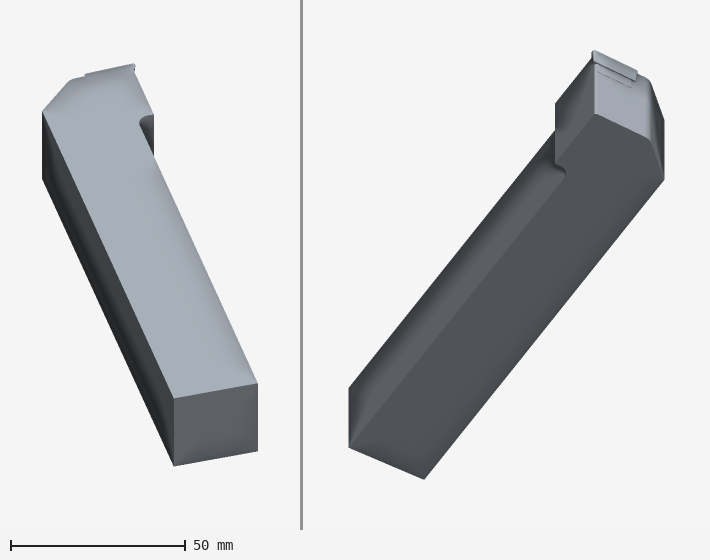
import cadquery as cq
import math

length = 150.0
shank_size = 25.0
overall_width = 31.5

head_back_y = 30.3
head_end_x = 27.6
neck_radius = 3.6
bevel_size = 13.6
bevel_blend_radius = 4.5
front_face_x = 1.0
back_corner_radius = 0.7
approach_tilt = 3.0

insert_side = 16.5
insert_thickness = 4.2
nose_radius = 0.7
clearance_angle = 7.0

pad_height = 3.1
pad_inset = 0.9
pad_nose_radius = 0.6

tilt = math.radians(approach_tilt)
insert_bottom_z = shank_size - insert_thickness
nose_spacing = insert_side - 2 * nose_radius * math.sqrt(3)
center_distance = nose_spacing / math.sqrt(3)
center_direction = math.radians(-60.0) + tilt
center_x = nose_radius + center_distance * math.cos(center_direction)
center_y = overall_width - nose_radius + center_distance * math.sin(center_direction)
sharp_radius = insert_side / math.sqrt(3)


def rounded_triangle(z, inset, corner_radius):
    """Wire of the insert triangle at height z, moved inward, with round corners."""
    arc_center_distance = sharp_radius - 2 * (inset + corner_radius)
    outline = None
    for corner in range(3):
        middle = math.radians(120.0 + approach_tilt + 120.0 * corner)
        arc_x = center_x + arc_center_distance * math.cos(middle)
        arc_y = center_y + arc_center_distance * math.sin(middle)
        start, mid, end = [
            (arc_x + corner_radius * math.cos(middle + turn), arc_y + corner_radius * math.sin(middle + turn))
            for turn in (-math.pi / 3, 0.0, math.pi / 3)
        ]
        if outline is None:
            outline = cq.Workplane("XY", origin=(0, 0, z)).moveTo(*start)
        else:
            outline = outline.lineTo(*start)
        outline = outline.threePointArc(mid, end)
    return outline.close().val()


def make_insert():
    """Insert whose sides lean inward toward the bottom by the clearance angle."""
    inset = insert_thickness * math.tan(math.radians(clearance_angle))
    bottom = rounded_triangle(insert_bottom_z, inset, nose_radius - inset)
    top = rounded_triangle(shank_size, 0.0, nose_radius)
    return cq.Workplane(cq.Solid.makeLoft([bottom, top], True))


def make_pad():
    pad_outline = rounded_triangle(insert_bottom_z - pad_height, pad_inset, pad_nose_radius)
    return cq.Workplane(cq.Solid.extrudeLinear(pad_outline, [], cq.Vector(0, 0, pad_height)))


def make_holder(insert):
    corner_drop = (front_face_x + head_back_y - bevel_size) / (1 - math.tan(tilt))
    corner_y = head_back_y - corner_drop
    corner_x = bevel_size - corner_y
    body = (
        cq.Workplane("XY")
        .moveTo(bevel_size, 0)
        .lineTo(length, 0)
        .lineTo(length, shank_size)
        .lineTo(head_end_x, shank_size)
        .radiusArc((head_end_x - neck_radius, shank_size + neck_radius), neck_radius)
        .lineTo(head_end_x - neck_radius, head_back_y)
        .lineTo(front_face_x, head_back_y)
        .lineTo(corner_x, corner_y)
        .close()
        .extrude(shank_size)
    )
    blend_edge = cq.selectors.NearestToPointSelector((corner_x, corner_y, shank_size / 2))
    body = body.edges("|Z").edges(blend_edge).fillet(bevel_blend_radius)
    back_edge = cq.selectors.NearestToPointSelector((front_face_x, head_back_y, shank_size / 2))
    body = body.edges("|Z").edges(back_edge).fillet(back_corner_radius)
    return body.union(make_pad()).cut(insert)


insert = make_insert()
holder = make_holder(insert)
result = cq.Compound.makeCompound([holder.val(), insert.val()])